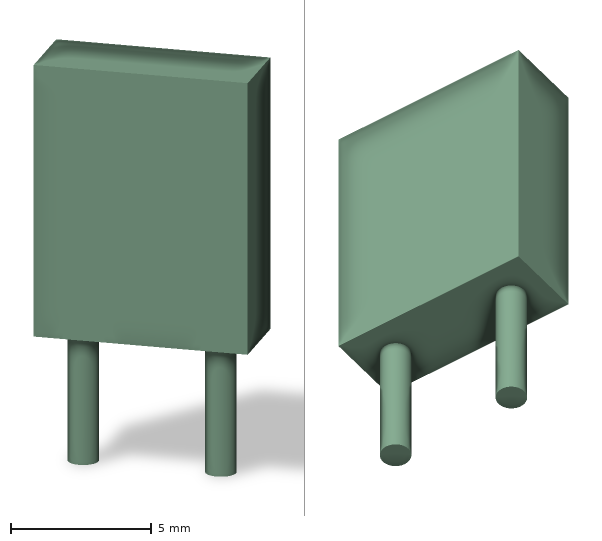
import cadquery as cq

housing_width = 7.92
housing_depth = 3.05
total_height = 15.21

pin_diameter = 1.13
pin_length = 5.0
pin_pitch = 5.1

housing_height = total_height - pin_length


def make_housing():
    """Plain block, centred on X and Y, with its underside at Z = 0."""
    return cq.Workplane("XY").box(
        housing_width, housing_depth, housing_height, centered=(True, True, False)
    )


def make_pin(x):
    """Straight round pin that hangs from the underside of the housing."""
    return cq.Workplane("XY").center(x, 0).circle(pin_diameter / 2).extrude(-pin_length)


housing = make_housing()
pins = [make_pin(side * pin_pitch / 2) for side in (-1, 1)]

result = cq.Compound.makeCompound([housing.val(), *[pin.val() for pin in pins]])